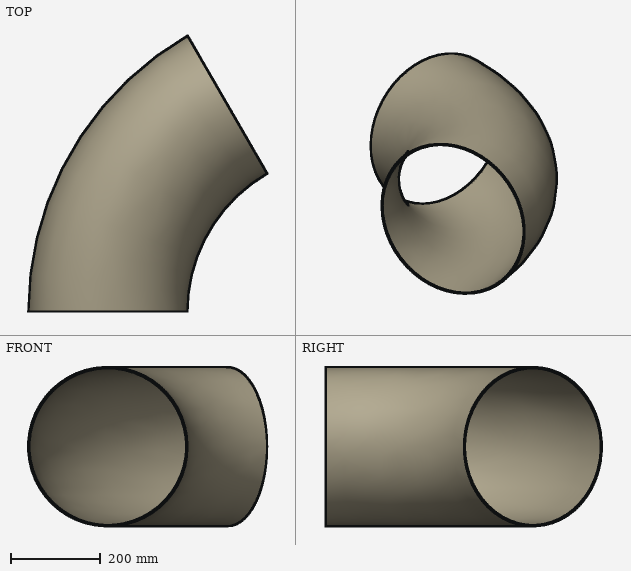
import cadquery as cq
import math

bend_angle = 60.0
elbow_length = 616.5
wall = 3.0
bend_ratio = 1.5

outside_bend_radius = elbow_length / math.sin(math.radians(bend_angle))
pipe_diameter = outside_bend_radius / (bend_ratio + 1 / 2)
pipe_radius = pipe_diameter / 2
bend_radius = bend_ratio * pipe_diameter

result = (
    cq.Workplane("XZ")
    .circle(pipe_radius)
    .circle(pipe_radius - wall)
    .revolve(bend_angle, (bend_radius, 0, 0), (bend_radius, -1, 0))
)